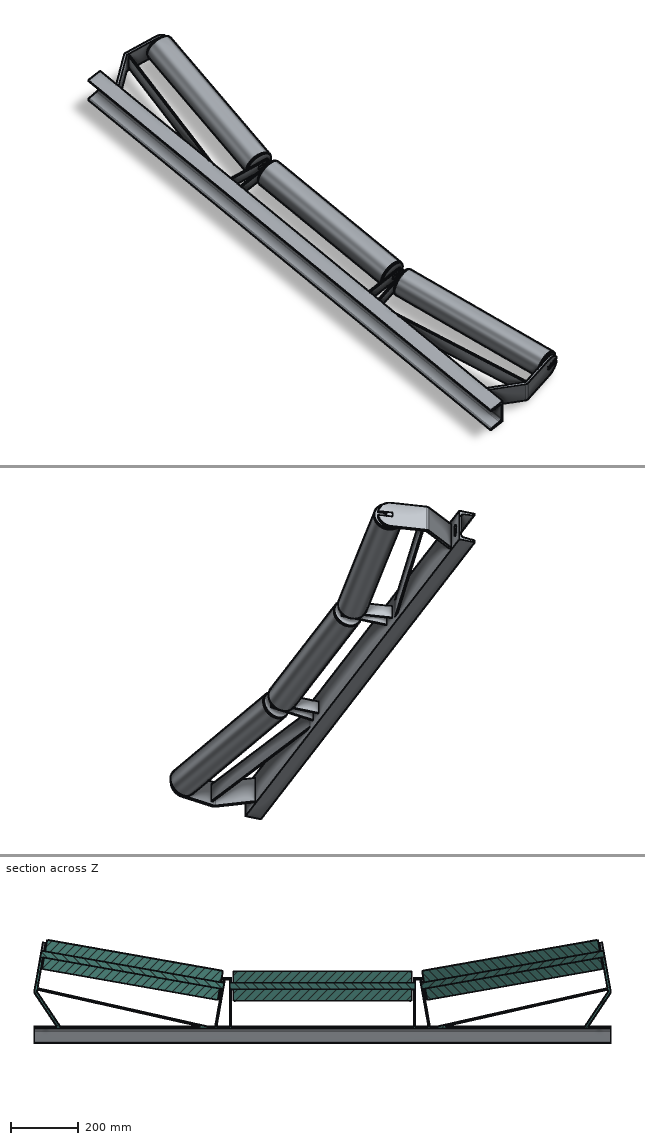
import cadquery as cq
import math


BEAM_LENGTH = 1710.0
BEAM_HEIGHT = 100.0
BEAM_DEPTH = 50.0
WEB_THICKNESS = 6.0
FLANGE_ROOT = 10.0
FLANGE_TIP = 7.0
ROOT_RADIUS = 9.0
TOE_RADIUS = 4.5
MOUNT_SLOT_LENGTH = 36.0
MOUNT_SLOT_WIDTH = 15.0
MOUNT_SLOT_INSET = 35.0

ROLLER_LENGTH = 530.0
ROLLER_DIAMETER = 89.0
RIM_LENGTH = 5.0
RIM_DEPTH = 2.0
SHAFT_DIAMETER = 20.0
SHAFT_FLATS = 14.0
TROUGH_ANGLE = 10.0
CENTRE_AXIS_Y = 120.0
SIDE_INNER_X = 303.0
SIDE_INNER_Y = 121.0

OUTER_WIDTH = 80.0
INNER_WIDTH = 40.0
INNER_THICKNESS = 5.0
INNER_GAP = 5.0
INNER_TOP_Y = 144.0
OUTER_THICKNESS = 9.0
OUTER_GAP = 2.4
OUTER_BEND_Y = 103.0
OUTER_FOOT_X = 778.0
HEAD_DROP = 5.0
BEND_RADIUS = 5.0
BRACE_THICKNESS = 5.0
BRACE_WIDTH = 58.0
BRACE_FOOT_X = 340.0
BRACE_ANGLE = 12.7

SIN_TROUGH = math.sin(math.radians(TROUGH_ANGLE))
COS_TROUGH = math.cos(math.radians(TROUGH_ANGLE))
TAN_TROUGH = SIN_TROUGH / COS_TROUGH


def side_point(along, across):
    """Point beside the right roller axis: along it from the roller's inner end, and across it."""
    x = SIDE_INNER_X + along * COS_TROUGH - across * SIN_TROUGH
    y = SIDE_INNER_Y + along * SIN_TROUGH + across * COS_TROUGH
    return (x, y)


def side_line_x(along, y):
    """X at height y on the line square to the right roller axis at distance along."""
    start_x, start_y = side_point(along, 0)
    return start_x - (y - start_y) * TAN_TROUGH


def strip(points, width):
    """Prism of the given Z width, centred on Z = 0, from an outline in the XY plane."""
    return cq.Workplane("XY").polyline(points).close().extrude(width / 2, both=True)


def mirrored_pair(body):
    return body.union(body.mirror("YZ"))


def on_side_axis(body):
    """Move a body built along +X from the origin onto the right roller axis."""
    turned = body.rotate((0, 0, 0), (0, 0, 1), TROUGH_ANGLE)
    return turned.translate((SIDE_INNER_X, SIDE_INNER_Y, 0))


def on_centre_axis(body):
    """Move a body built along +X from the origin onto the centre roller axis."""
    return body.translate((-ROLLER_LENGTH / 2, CENTRE_AXIS_Y, 0))


def make_beam():
    half_height = BEAM_HEIGHT / 2
    tip_z = half_height - FLANGE_TIP
    root_z = half_height - FLANGE_ROOT
    beam = (
        cq.Workplane("YZ")
        .polyline([
            (0, -half_height),
            (0, half_height),
            (-BEAM_DEPTH, half_height),
            (-BEAM_DEPTH, tip_z),
            (-WEB_THICKNESS, root_z),
            (-WEB_THICKNESS, -root_z),
            (-BEAM_DEPTH, -tip_z),
            (-BEAM_DEPTH, -half_height),
        ])
        .close()
        .extrude(BEAM_LENGTH / 2, both=True)
    )
    for side in (-1, 1):
        root_edge = cq.selectors.NearestToPointSelector((0, -WEB_THICKNESS, side * root_z))
        beam = beam.edges(root_edge).fillet(ROOT_RADIUS)
        toe_edge = cq.selectors.NearestToPointSelector((0, -BEAM_DEPTH, side * tip_z))
        beam = beam.edges(toe_edge).fillet(TOE_RADIUS)
    slot_x = BEAM_LENGTH / 2 - MOUNT_SLOT_INSET
    slots = (
        cq.Workplane("XZ")
        .pushPoints([(-slot_x, 0), (slot_x, 0)])
        .slot2D(MOUNT_SLOT_LENGTH, MOUNT_SLOT_WIDTH, 90)
        .extrude(WEB_THICKNESS)
    )
    return beam.cut(slots)


def make_inner_bracket():
    """Inverted U: a leg square to the centre roller, a top, and a leg square to the side roller."""
    centre_leg_x = ROLLER_LENGTH / 2 + INNER_GAP
    top_underside = INNER_TOP_Y - INNER_THICKNESS
    side_face = -INNER_GAP
    side_back = side_face - INNER_THICKNESS
    return strip([
        (centre_leg_x, 0),
        (centre_leg_x, INNER_TOP_Y),
        (side_line_x(side_face, INNER_TOP_Y), INNER_TOP_Y),
        (side_line_x(side_face, 0), 0),
        (side_line_x(side_back, 0), 0),
        (side_line_x(side_back, top_underside), top_underside),
        (centre_leg_x + INNER_THICKNESS, top_underside),
        (centre_leg_x + INNER_THICKNESS, 0),
    ], INNER_WIDTH)


def make_outer_bracket():
    """Strip with a round head square to the side roller, bent inward down to the mounting face."""
    inner_face = ROLLER_LENGTH + OUTER_GAP
    outer_face = inner_face + OUTER_THICKNESS
    head_radius = OUTER_WIDTH / 2
    bend_x = side_line_x(inner_face, OUTER_BEND_Y)

    lower_angle = math.atan2(bend_x - OUTER_FOOT_X, OUTER_BEND_Y)
    bend_half_angle = (lower_angle + math.radians(TROUGH_ANGLE)) / 2
    mitre = OUTER_THICKNESS * math.tan(bend_half_angle)
    outer_bend = (
        bend_x + OUTER_THICKNESS * COS_TROUGH + mitre * SIN_TROUGH,
        OUTER_BEND_Y + OUTER_THICKNESS * SIN_TROUGH - mitre * COS_TROUGH,
    )
    bracket = strip([
        side_point(outer_face, head_radius),
        outer_bend,
        (OUTER_FOOT_X + OUTER_THICKNESS / math.cos(lower_angle), 0),
        (OUTER_FOOT_X, 0),
        (bend_x, OUTER_BEND_Y),
        side_point(inner_face, head_radius),
    ], OUTER_WIDTH)
    inner_edge = cq.selectors.NearestToPointSelector((bend_x, OUTER_BEND_Y, 0))
    bracket = bracket.edges(inner_edge).fillet(BEND_RADIUS)
    outer_edge = cq.selectors.NearestToPointSelector((*outer_bend, 0))
    bracket = bracket.edges(outer_edge).fillet(BEND_RADIUS + OUTER_THICKNESS)

    envelope_length = 4 * SIDE_INNER_Y
    envelope = (
        cq.Workplane("YZ")
        .center(head_radius - HEAD_DROP - envelope_length / 2, 0)
        .slot2D(envelope_length, OUTER_WIDTH)
        .extrude(BEAM_LENGTH / 2)
    )
    return bracket.intersect(on_side_axis(envelope))


def make_brace():
    """Flat strip from the bend of the outer bracket down to the mounting face."""
    angle = math.radians(BRACE_ANGLE)
    reach = side_line_x(ROLLER_LENGTH + OUTER_GAP + OUTER_THICKNESS / 2, OUTER_BEND_Y)
    rise = (reach - BRACE_FOOT_X) * math.tan(angle)
    return strip([
        (BRACE_FOOT_X, 0),
        (BRACE_FOOT_X + BRACE_THICKNESS / math.sin(angle), 0),
        (reach, rise - BRACE_THICKNESS / math.cos(angle)),
        (reach, rise),
    ], BRACE_WIDTH)


def make_shaft(start_reach, end_reach):
    """Shaft along +X for a roller starting at the origin, with flats outside both roller ends."""
    radius = SHAFT_DIAMETER / 2
    shaft = (
        cq.Workplane("YZ")
        .workplane(offset=-start_reach)
        .circle(radius)
        .extrude(start_reach + ROLLER_LENGTH + end_reach)
    )
    for start, length in ((-start_reach, start_reach), (ROLLER_LENGTH, end_reach)):
        sides = (
            cq.Workplane("YZ")
            .workplane(offset=start)
            .rect(SHAFT_DIAMETER, SHAFT_DIAMETER)
            .rect(SHAFT_DIAMETER, SHAFT_FLATS)
            .extrude(length)
        )
        shaft = shaft.cut(sides)
    return shaft


def make_seat_cut(shaft, start_reach, end_reach):
    """The shaft together with the open slots above it that let it drop into its brackets."""
    for start, length in ((-start_reach, start_reach), (ROLLER_LENGTH, end_reach)):
        slot = (
            cq.Workplane("YZ")
            .workplane(offset=start)
            .center(OUTER_WIDTH / 2, 0)
            .rect(OUTER_WIDTH, SHAFT_FLATS)
            .extrude(length)
        )
        shaft = shaft.union(slot)
    return shaft


def make_roller():
    """Roller along +X from the origin, bored for its shaft, with a shallow taper at both rims."""
    radius = ROLLER_DIAMETER / 2
    bore_radius = SHAFT_DIAMETER / 2
    return (
        cq.Workplane("XY")
        .polyline([
            (0, bore_radius),
            (0, radius - RIM_DEPTH),
            (RIM_LENGTH, radius),
            (ROLLER_LENGTH - RIM_LENGTH, radius),
            (ROLLER_LENGTH, radius - RIM_DEPTH),
            (ROLLER_LENGTH, bore_radius),
        ])
        .close()
        .revolve(360, (0, 0, 0), (1, 0, 0))
    )


def make_frame(seat_cuts):
    """Beam, brackets and braces welded into one body, with the shaft seats cut out."""
    right_half = make_inner_bracket().union(make_outer_bracket()).union(make_brace())
    frame = make_beam().union(mirrored_pair(right_half))
    for seat_cut in seat_cuts:
        frame = frame.cut(seat_cut)
    return frame


inner_reach = INNER_GAP + INNER_THICKNESS
outer_reach = OUTER_GAP + OUTER_THICKNESS

centre_shaft = make_shaft(inner_reach, inner_reach)
side_shaft = make_shaft(inner_reach, outer_reach)
roller = make_roller()

centre_seat = on_centre_axis(make_seat_cut(centre_shaft, inner_reach, inner_reach))
right_seat = on_side_axis(make_seat_cut(side_shaft, inner_reach, outer_reach))
frame = make_frame([centre_seat, right_seat, right_seat.mirror("YZ")])

right_shaft = on_side_axis(side_shaft)
right_roller = on_side_axis(roller)
shafts = [on_centre_axis(centre_shaft), right_shaft, right_shaft.mirror("YZ")]
rollers = [on_centre_axis(roller), right_roller, right_roller.mirror("YZ")]

result = cq.Compound.makeCompound([frame.solids().val(), *[body.val() for body in shafts + rollers]])